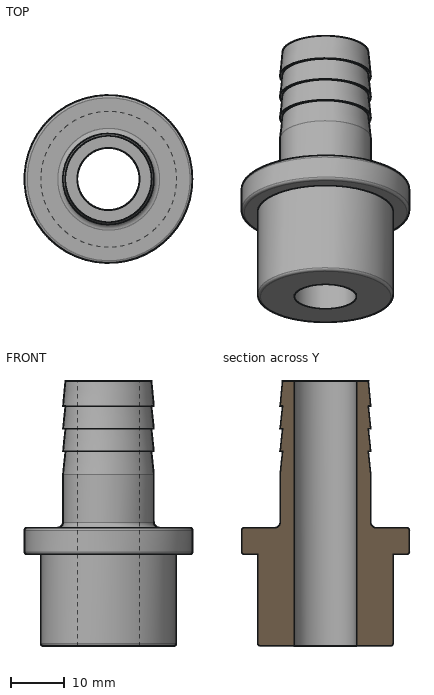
import cadquery as cq

bore_diameter = 11.5
spigot_diameter = 25.2
spigot_length = 17.0
spigot_edge_radius = 0.5
flange_diameter = 31.2
flange_thickness = 5.0
flange_edge_radius = 0.5
neck_diameter = 16.9
neck_length = 9.9
neck_fillet_radius = 1.0
barb_count = 4
barb_pitch = 4.2
tip_barb_length = 4.7
barb_end_diameter = 16.0

flange_top = spigot_length + flange_thickness
neck_top = flange_top + neck_length
tip_bottom = neck_top + (barb_count - 1) * barb_pitch
total_height = tip_bottom + tip_barb_length


def cylinder(diameter, bottom, height):
    return cq.Workplane("XY").workplane(offset=bottom).circle(diameter / 2).extrude(height)


def make_spigot():
    """Plain spigot with a rounded lower edge."""
    return cylinder(spigot_diameter, 0, spigot_length).faces("<Z").edges().fillet(spigot_edge_radius)


def make_flange():
    """Disc with both rims rounded."""
    return cylinder(flange_diameter, spigot_length, flange_thickness).edges("%CIRCLE").fillet(flange_edge_radius)


def make_neck():
    """Plain neck whose foot flares into the flange with a concave fillet."""
    neck_radius = neck_diameter / 2
    profile = (
        cq.Workplane("XZ")
        .moveTo(0, flange_top)
        .lineTo(neck_radius + neck_fillet_radius, flange_top)
        .radiusArc((neck_radius, flange_top + neck_fillet_radius), neck_fillet_radius)
        .lineTo(neck_radius, neck_top)
        .lineTo(0, neck_top)
        .close()
    )
    return profile.revolve(360, (0, 0), (0, 1))


def make_barb(bottom, length):
    """Cone with the full neck diameter at its bottom, narrowing upwards."""
    cone = cq.Solid.makeCone(
        neck_diameter / 2, barb_end_diameter / 2, length, cq.Vector(0, 0, bottom), cq.Vector(0, 0, 1)
    )
    return cq.Workplane(cone)


body = make_spigot().union(make_flange()).union(make_neck())

for index in range(barb_count - 1):
    body = body.union(make_barb(neck_top + index * barb_pitch, barb_pitch))
body = body.union(make_barb(tip_bottom, tip_barb_length))

result = body.cut(cylinder(bore_diameter, 0, total_height))